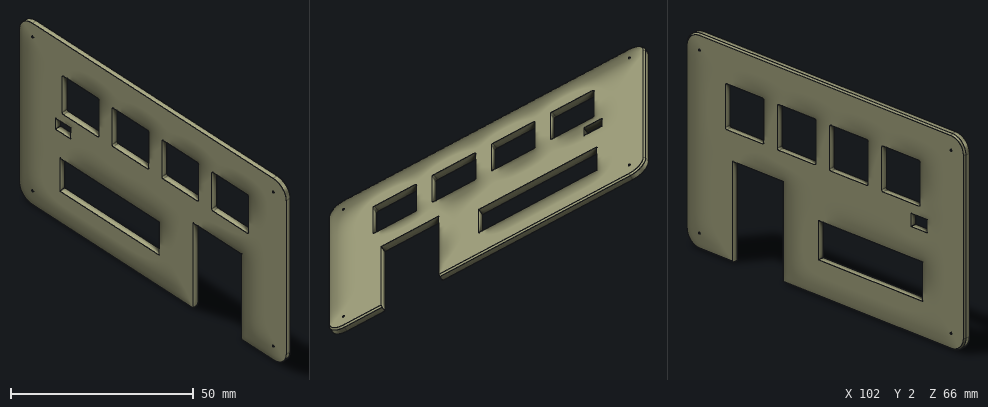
import cadquery as cq

PLATE_WIDTH = 102.0
PLATE_HEIGHT = 66.0
PLATE_THICKNESS = 2.0
CORNER_RADIUS = 5.0
BACK_CHAMFER = 0.5

PIN_HOLE_DIAMETER = 0.6
PIN_SPACING_X = PLATE_WIDTH - 2 * CORNER_RADIUS
PIN_SPACING_Z = PLATE_HEIGHT - 2 * CORNER_RADIUS

KEY_COUNT = 4
KEY_SIZE = 14.0
KEY_PITCH = 19.05
KEY_CORNER_RADIUS = 0.5
FIRST_KEY_X = -27.65
KEY_ROW_Z = 14.0

SMALL_WIDTH = 5.8
SMALL_HEIGHT = 4.0
SMALL_X = -34.3
SMALL_Z = 1.85

LONG_WIDTH = 38.0
LONG_HEIGHT = 12.0
LONG_X = -16.55
LONG_Z = -15.65

NOTCH_WIDTH = 18.5
NOTCH_X = 24.6
NOTCH_TOP_Z = -2.0


def block(width, height, x, z):
    """Box spanning the plate thickness, centred at (x, z)."""
    return cq.Workplane("XY").box(width, PLATE_THICKNESS, height).translate((x, 0, z))


def make_plate():
    plate = block(PLATE_WIDTH, PLATE_HEIGHT, 0, 0)
    plate = plate.edges("|Y").fillet(CORNER_RADIUS)
    return plate.faces(">Y").edges().chamfer(BACK_CHAMFER)


def cut_key_openings(plate):
    for index in range(KEY_COUNT):
        opening = block(KEY_SIZE, KEY_SIZE, FIRST_KEY_X + index * KEY_PITCH, KEY_ROW_Z)
        plate = plate.cut(opening.edges("|Y").fillet(KEY_CORNER_RADIUS))
    return plate


def cut_windows(plate):
    plate = plate.cut(block(SMALL_WIDTH, SMALL_HEIGHT, SMALL_X, SMALL_Z))
    return plate.cut(block(LONG_WIDTH, LONG_HEIGHT, LONG_X, LONG_Z))


def cut_notch(plate):
    depth = NOTCH_TOP_Z + PLATE_HEIGHT / 2
    return plate.cut(block(NOTCH_WIDTH, depth, NOTCH_X, NOTCH_TOP_Z - depth / 2))


def cut_pin_holes(plate):
    holes = (
        cq.Workplane("XZ")
        .rect(PIN_SPACING_X, PIN_SPACING_Z, forConstruction=True)
        .vertices()
        .circle(PIN_HOLE_DIAMETER / 2)
        .extrude(PLATE_THICKNESS, both=True)
    )
    return plate.cut(holes)


result = cut_pin_holes(cut_notch(cut_windows(cut_key_openings(make_plate()))))